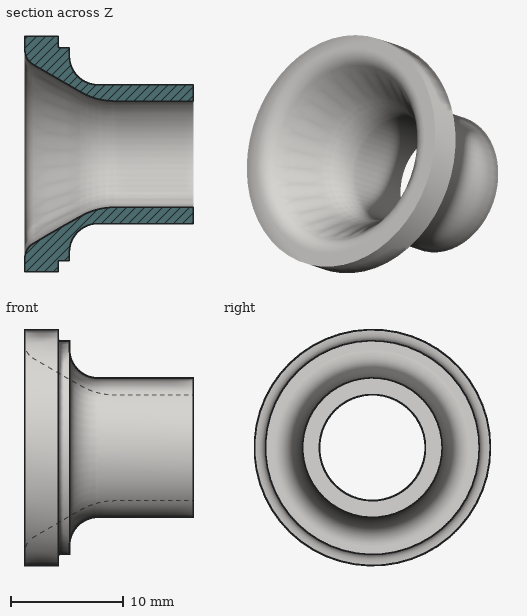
import cadquery as cq
import math

LENGTH = 15.0
FLANGE_RADIUS = 21.0 / 2
FLANGE_THICKNESS = 3.0
STEP_RADIUS = 19.0 / 2
STEP_THICKNESS = 1.0
STEP_END = FLANGE_THICKNESS + STEP_THICKNESS
STEP_FILLET = 0.1
NECK_RADIUS = 12.4 / 2
NECK_FILLET = 2.5

BORE_RADIUS = 9.4 / 2
CONE_HALF_ANGLE = 30.0
RIM_RADIUS = 18.5 / 2
MOUTH_FILLET = 1.5
THROAT_FILLET = 6.0

TO_FRONT = 180
TO_AXIS = 270
FRONT_AND_AXIS = (TO_FRONT + TO_AXIS) / 2
CONE_NORMAL = TO_AXIS - CONE_HALF_ANGLE

MOUTH_TURN = CONE_NORMAL - TO_FRONT
MOUTH_TANGENT = MOUTH_FILLET * math.tan(math.radians(MOUTH_TURN / 2))
THROAT_TANGENT = THROAT_FILLET * math.tan(math.radians(CONE_HALF_ANGLE / 2))

CONE_MOUTH_RADIUS = RIM_RADIUS - MOUTH_TANGENT
CONE_DEPTH = (CONE_MOUTH_RADIUS - BORE_RADIUS) / math.tan(math.radians(CONE_HALF_ANGLE))


def arc_point(center, radius, degrees):
    """Point at (x, r) on a circle in the half section."""
    angle = math.radians(degrees)
    return (center[0] + radius * math.cos(angle), center[1] + radius * math.sin(angle))


def revolve_about_x(profile):
    """Close a half section on the axis and turn it a full circle."""
    return profile.close().revolve(360, (0, 0, 0), (1, 0, 0))


def make_body():
    """Solid flange, step and neck, with concave fillets behind the flange and the step."""
    step_center = (FLANGE_THICKNESS + STEP_FILLET, STEP_RADIUS + STEP_FILLET)
    neck_center = (STEP_END + NECK_FILLET, NECK_RADIUS + NECK_FILLET)
    profile = (
        cq.Workplane("XY")
        .lineTo(0, FLANGE_RADIUS)
        .lineTo(FLANGE_THICKNESS, FLANGE_RADIUS)
        .lineTo(FLANGE_THICKNESS, step_center[1])
        .threePointArc(arc_point(step_center, STEP_FILLET, FRONT_AND_AXIS), (step_center[0], STEP_RADIUS))
        .lineTo(STEP_END, STEP_RADIUS)
        .lineTo(STEP_END, neck_center[1])
        .threePointArc(arc_point(neck_center, NECK_FILLET, FRONT_AND_AXIS), (neck_center[0], NECK_RADIUS))
        .lineTo(LENGTH, NECK_RADIUS)
        .lineTo(LENGTH, 0)
    )
    return revolve_about_x(profile)


def make_passage():
    """Rounded mouth, cone, rounded throat and straight bore, as a solid to cut away."""
    mouth_center = (MOUTH_FILLET, RIM_RADIUS)
    throat_center = (CONE_DEPTH + THROAT_TANGENT, BORE_RADIUS + THROAT_FILLET)
    profile = (
        cq.Workplane("XY")
        .lineTo(0, RIM_RADIUS)
        .threePointArc(
            arc_point(mouth_center, MOUTH_FILLET, (TO_FRONT + CONE_NORMAL) / 2),
            arc_point(mouth_center, MOUTH_FILLET, CONE_NORMAL),
        )
        .lineTo(*arc_point(throat_center, THROAT_FILLET, CONE_NORMAL))
        .threePointArc(
            arc_point(throat_center, THROAT_FILLET, (CONE_NORMAL + TO_AXIS) / 2),
            (throat_center[0], BORE_RADIUS),
        )
        .lineTo(LENGTH, BORE_RADIUS)
        .lineTo(LENGTH, 0)
    )
    return revolve_about_x(profile)


result = make_body().cut(make_passage())